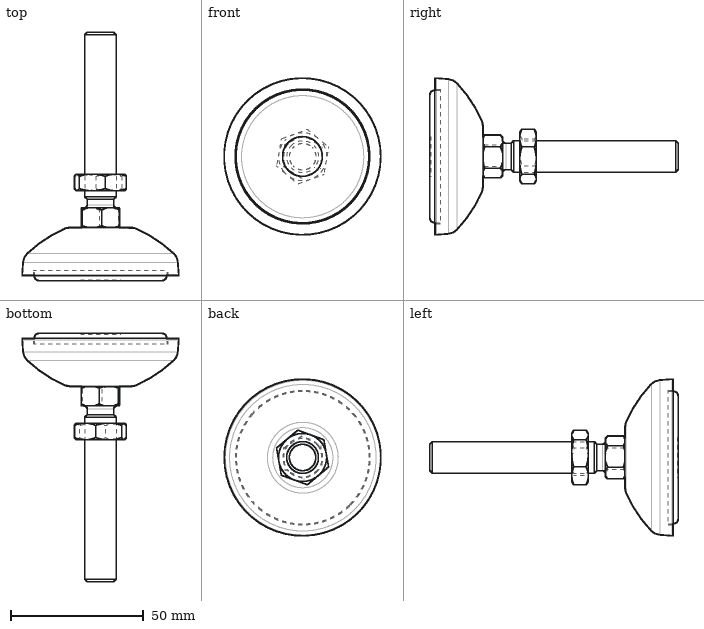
import cadquery as cq
import math

TOTAL_LENGTH = 93.5

PAD_RADIUS = 25.0
PAD_THICKNESS = 4.0
PAD_RIM_FILLET = 2.0
RECESS_RADIUS = 7.5
RECESS_DEPTH = 0.5

FOOT_BOTTOM = 2.0
FOOT_TOP = 20.1
FOOT_DIAMETER = 59.0
FOOT_RADIUS = FOOT_DIAMETER / 2
FOOT_BAND_HEIGHT = 0.6
SHOULDER_RADIUS = 29.0
SHOULDER_Y = 8.9
SHOULDER_FILLET = 5.05
DOME_TOP_RADIUS = 12.3
DOME_SAGITTA = 1.0
DOME_TOP_FILLET = 5.05
EDGE_SEARCH_MARGIN = 0.1
POCKET_RADIUS = 25.3

STUD_HEX_FLATS = 14.0
STUD_HEX_HEIGHT = 7.3
STUD_HEX_ANGLE = 26.5
STUD_HEX_BOTTOM_INSET = 0.8
STUD_HEX_BOTTOM_DROP = 0.6
STUD_HEX_TOP_INSET = 0.8
STUD_HEX_TOP_DROP = 0.8
STUD_RADIUS = 6.0
STUD_END_CHAMFER = 1.0
NECK_RADIUS = 5.05
NECK_FLARE = 1.1
NECK_LENGTH = 2.15

NUT_FLATS = 18.0
NUT_HEIGHT = 6.3
NUT_BOTTOM = 33.85
NUT_ANGLE = 20.0
NUT_CHAMFER_ANGLE = 30.0


def revolve_about_y(profile):
    """Turn a closed (radius, Y) outline around the Y axis."""
    return profile.close().revolve(360, (0, 0, 0), (0, 1, 0))


def cylinder(radius, bottom, height):
    """Cylinder on the Y axis, rising from Y = bottom."""
    return cq.Workplane("XZ", origin=(0, bottom, 0)).circle(radius).extrude(-height)


def hexagon_corner_radius(flats):
    return flats / math.sqrt(3)


def chamfered_hexagon(flats, bottom, height, angle, bottom_chamfer, top_chamfer):
    """Hexagonal prism on the Y axis with its corners turned off at both ends.

    Each chamfer is a pair: how far it cuts in at the end face, and how far it runs along Y.
    """
    corner_radius = hexagon_corner_radius(flats)
    bottom_inset, bottom_drop = bottom_chamfer
    top_inset, top_drop = top_chamfer
    top = bottom + height
    prism = (
        cq.Workplane("XZ", origin=(0, bottom, 0))
        .polygon(6, 2 * corner_radius)
        .extrude(-height)
        .rotate((0, 0, 0), (0, 1, 0), -angle)
    )
    turned_blank = revolve_about_y(
        cq.Workplane("XY")
        .moveTo(0, bottom)
        .lineTo(corner_radius - bottom_inset, bottom)
        .lineTo(corner_radius, bottom + bottom_drop)
        .lineTo(corner_radius, top - top_drop)
        .lineTo(corner_radius - top_inset, top)
        .lineTo(0, top)
    )
    return prism.intersect(turned_blank)


def make_pad():
    disc = cylinder(PAD_RADIUS, 0, PAD_THICKNESS).faces("<Y").edges().fillet(PAD_RIM_FILLET)
    return disc.cut(cylinder(RECESS_RADIUS, 0, RECESS_DEPTH))


def make_foot():
    blank = revolve_about_y(
        cq.Workplane("XY")
        .moveTo(0, FOOT_BOTTOM)
        .lineTo(FOOT_RADIUS, FOOT_BOTTOM)
        .lineTo(FOOT_RADIUS, FOOT_BOTTOM + FOOT_BAND_HEIGHT)
        .lineTo(SHOULDER_RADIUS, SHOULDER_Y)
        .sagittaArc((DOME_TOP_RADIUS, FOOT_TOP), -DOME_SAGITTA)
        .lineTo(0, FOOT_TOP)
    )
    shoulder_zone = cq.selectors.BoxSelector(
        (-FOOT_RADIUS, SHOULDER_Y - EDGE_SEARCH_MARGIN, -FOOT_RADIUS),
        (FOOT_RADIUS, SHOULDER_Y + EDGE_SEARCH_MARGIN, FOOT_RADIUS),
    )
    domed = blank.edges(shoulder_zone).fillet(SHOULDER_FILLET)
    domed = domed.faces(">Y").edges().fillet(DOME_TOP_FILLET)
    return domed.cut(cylinder(POCKET_RADIUS, FOOT_BOTTOM, PAD_THICKNESS - FOOT_BOTTOM))


def make_stud():
    hexagon_top = FOOT_TOP + STUD_HEX_HEIGHT
    neck_bottom = hexagon_top + NECK_FLARE
    neck_top = neck_bottom + NECK_LENGTH
    shank_bottom = neck_top + STUD_RADIUS - NECK_RADIUS
    hexagon = chamfered_hexagon(
        STUD_HEX_FLATS,
        FOOT_TOP,
        STUD_HEX_HEIGHT,
        STUD_HEX_ANGLE,
        bottom_chamfer=(STUD_HEX_BOTTOM_INSET, STUD_HEX_BOTTOM_DROP),
        top_chamfer=(STUD_HEX_TOP_INSET, STUD_HEX_TOP_DROP),
    )
    shaft = revolve_about_y(
        cq.Workplane("XY")
        .moveTo(0, hexagon_top)
        .lineTo(NECK_RADIUS + NECK_FLARE, hexagon_top)
        .radiusArc((NECK_RADIUS, neck_bottom), NECK_FLARE)
        .lineTo(NECK_RADIUS, neck_top)
        .lineTo(STUD_RADIUS, shank_bottom)
        .lineTo(STUD_RADIUS, TOTAL_LENGTH - STUD_END_CHAMFER)
        .lineTo(STUD_RADIUS - STUD_END_CHAMFER, TOTAL_LENGTH)
        .lineTo(0, TOTAL_LENGTH)
    )
    return hexagon.union(shaft)


def make_nut():
    inset = hexagon_corner_radius(NUT_FLATS) - NUT_FLATS / 2
    chamfer = (inset, inset * math.tan(math.radians(NUT_CHAMFER_ANGLE)))
    hexagon = chamfered_hexagon(NUT_FLATS, NUT_BOTTOM, NUT_HEIGHT, NUT_ANGLE, chamfer, chamfer)
    return hexagon.cut(cylinder(STUD_RADIUS, NUT_BOTTOM, NUT_HEIGHT))


pad = make_pad()
foot = make_foot()
stud = make_stud()
nut = make_nut()

result = cq.Compound.makeCompound([pad.val(), foot.val(), stud.val(), nut.val()])